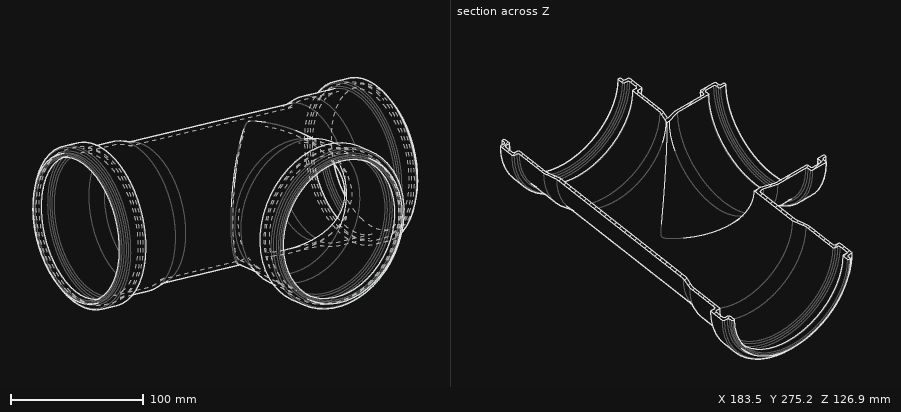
import cadquery as cq
import math

run_length = 275.2
branch_reach = 117.62
branch_tilt = 2.5

run_diameter = 110.15
branch_diameter = 110.0
run_bore = 103.75
socket_bore = 111.0
socket_diameter = 116.5
lip_bore = 110.7
lip_diameter = socket_diameter
groove_diameter = 121.1
collar_diameter = 126.9

collar_start = 4.2
collar_end = 20.1
run_taper_start = 50.5
branch_taper_start = 49.6
taper_length = 11.7

corner_radius = 1.25
rim_radius = 0.9
weld_radius = 1.0

branch_bore = branch_diameter - (run_diameter - run_bore)
collar_wall = (collar_diameter - groove_diameter) / 2
groove_start = collar_start + collar_wall
groove_end = collar_end - collar_wall

tilt = math.radians(branch_tilt)
origin = cq.Vector(0, 0, 0)
run_direction = cq.Vector(0, 1, 0)
branch_direction = cq.Vector(math.cos(tilt), math.sin(tilt), 0)

arms = [
    (branch_reach, run_direction, run_diameter, run_bore, run_taper_start),
    (run_length - branch_reach, -run_direction, run_diameter, run_bore, run_taper_start),
    (branch_reach, branch_direction, branch_diameter, branch_bore, branch_taper_start),
]


def run_cylinder(diameter):
    """Cylinder along the run, ending inside the two run sockets."""
    length = run_length - 2 * run_taper_start
    base = run_direction * (branch_reach - run_taper_start - length)
    body = cq.Workplane(cq.Solid.makeCylinder(diameter / 2, length, base, run_direction))
    return body.rotate(origin.toTuple(), run_direction.toTuple(), 180)


def branch_cylinder(diameter):
    """Cylinder along the branch, from the axis crossing to inside the branch socket."""
    length = branch_reach - branch_taper_start
    return cq.Workplane(cq.Solid.makeCylinder(diameter / 2, length, origin, branch_direction))


def revolve_about_z(outline):
    """Close a half outline in the XZ plane and revolve it about Z."""
    return outline.close().revolve(360, (0, 0, 0), (0, 1, 0))


def socket_body(lip, ring, ring_start, ring_end, socket, taper_start, pipe):
    """Revolved socket, mouth at Z = 0 and pipe towards -Z, with a raised ring rounded at its corners."""
    outline = cq.Workplane("XZ").polyline([
        (0, 0),
        (lip / 2, 0),
        (lip / 2, -ring_start),
        (ring / 2, -ring_start),
        (ring / 2, -ring_end),
        (socket / 2, -ring_end),
        (socket / 2, -taper_start),
        (pipe / 2, -taper_start - taper_length),
        (0, -taper_start - taper_length),
    ])
    ring_zone = cq.selectors.BoxSelector(
        (-ring, -ring, -ring_end - corner_radius),
        (ring, ring, -ring_start + corner_radius),
    )
    return revolve_about_z(outline).edges("%CIRCLE").edges(ring_zone).fillet(corner_radius)


def socket_outside(pipe, taper_start):
    """Outer shape of a socket with its collar and rounded rim."""
    body = socket_body(
        lip_diameter, collar_diameter, collar_start, collar_end, socket_diameter, taper_start, pipe
    )
    return body.faces(">Z").edges().fillet(rim_radius)


def socket_inside(bore, taper_start):
    """Hollow of a socket with its seal groove and a rim that flares out at the mouth."""
    body = socket_body(
        lip_bore, groove_diameter, groove_start, groove_end, socket_bore, taper_start, bore
    )
    flare = (
        cq.Workplane("XZ")
        .lineTo(lip_bore / 2 + rim_radius, 0)
        .radiusArc((lip_bore / 2, -rim_radius), -rim_radius)
        .lineTo(0, -rim_radius)
    )
    return body.union(revolve_about_z(flare))


def place(body, reach, direction):
    """Move a socket so that its mouth lies at the given reach along a direction."""
    plane = cq.Plane(origin=direction * reach, xDir=(0, 0, 1), normal=direction)
    return cq.Workplane(body.val().moved(plane.location))


crossing = run_cylinder(run_diameter).union(branch_cylinder(branch_diameter))
outside = crossing.edges("not(%CIRCLE or %LINE)").fillet(weld_radius)
hollow = run_cylinder(run_bore).union(branch_cylinder(branch_bore))
for reach, direction, diameter, bore, taper_start in arms:
    outside = outside.union(place(socket_outside(diameter, taper_start), reach, direction))
    hollow = hollow.union(place(socket_inside(bore, taper_start), reach, direction))

result = outside.cut(hollow)